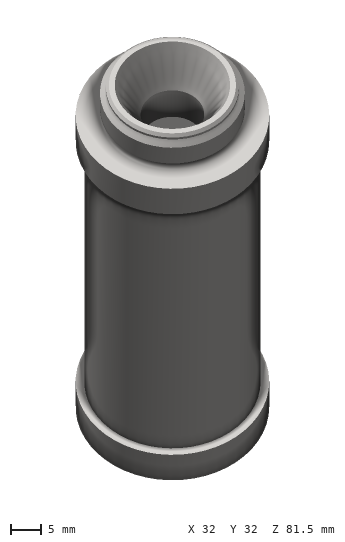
import cadquery as cq
import math

total_height = 81.5
flange_radius = 32.0 / 2
flange_height = 6.4
body_radius = 29.2 / 2

neck_height = 7.7
collar_radius = 24.0 / 2
collar_height = 4.0
lip_radius = 22.0 / 2
lip_height = 1.0
lip_chamfer = 0.5
collar_chamfer = collar_radius - lip_radius

groove_throat_radius = 22.0 / 2
groove_top_radius = 11.3

mouth_radius = 9.5
bore_radius = 10.5 / 2
funnel_half_angle = 30.0
bore_depth = neck_height + flange_height

flange_top = total_height - neck_height
flange_bottom = flange_top - flange_height
collar_top = total_height - lip_height - collar_chamfer
collar_bottom = collar_top - collar_height
groove_middle = (flange_top + collar_bottom) / 2
funnel_bottom = total_height - (mouth_radius - bore_radius) / math.tan(math.radians(funnel_half_angle))

half_section = (
    cq.Workplane("XZ")
    .lineTo(flange_radius, 0)
    .lineTo(flange_radius, flange_height)
    .lineTo(body_radius, flange_height)
    .lineTo(body_radius, flange_bottom)
    .lineTo(flange_radius, flange_bottom)
    .lineTo(flange_radius, flange_top)
    .lineTo(collar_radius, flange_top)
    .threePointArc((groove_throat_radius, groove_middle), (groove_top_radius, collar_bottom))
    .lineTo(collar_radius, collar_bottom)
    .lineTo(collar_radius, collar_top)
    .lineTo(lip_radius, collar_top + collar_chamfer)
    .lineTo(lip_radius, total_height - lip_chamfer)
    .lineTo(lip_radius - lip_chamfer, total_height)
    .lineTo(mouth_radius, total_height)
    .lineTo(bore_radius, funnel_bottom)
    .lineTo(bore_radius, total_height - bore_depth)
    .lineTo(0, total_height - bore_depth)
    .close()
)

result = half_section.revolve(360, (0, 0, 0), (0, 1, 0))